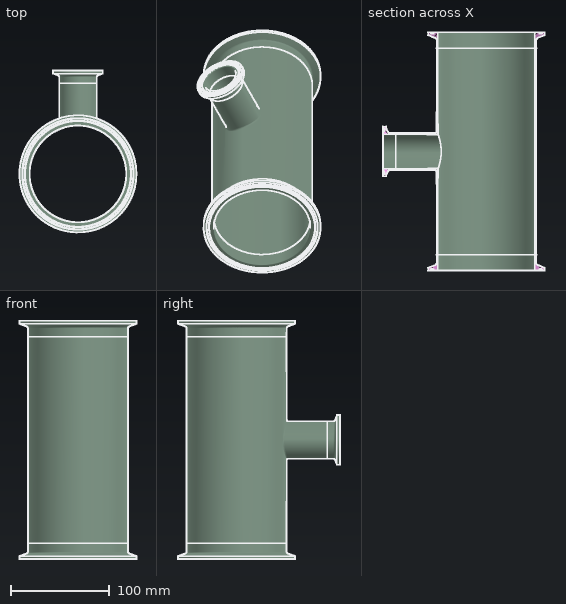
import cadquery as cq
import math

TOTAL_HEIGHT = 241.5
BRANCH_REACH = 104.8
WALL = 2.0

RUN_DIAMETER = 101.6
RUN_RADIUS = RUN_DIAMETER / 2
RUN_FLANGE_RADIUS = 59.5
RUN_FERRULE_LENGTH = 16.2
RUN_GROOVE_RADIUS = 55.0

BRANCH_RADIUS = 19.0
BRANCH_FLANGE_RADIUS = 25.3
BRANCH_FERRULE_LENGTH = 13.0
BRANCH_GROOVE_RADIUS = 21.7
SADDLE_FILLET = 1.5

RIM_THICKNESS = 3.1
CLAMP_ANGLE = math.radians(20)
NECK_FILLET = 1.7
BORE_EDGE_RADIUS = 0.7
GROOVE_WIDTH = 3.1
GROOVE_FLOOR_WIDTH = 2.0
GROOVE_DEPTH = 1.5

PICK_MARGIN = 0.2


def make_ferrule(tube_radius, flange_radius, length, groove_radius):
    """Ferrule on the Z axis: sealing face at Z = 0, weld end at Z = length."""
    bore_radius = tube_radius - WALL
    cone_end = RIM_THICKNESS + (flange_radius - tube_radius) * math.tan(CLAMP_ANGLE)
    body = (
        cq.Workplane("XZ")
        .moveTo(bore_radius + BORE_EDGE_RADIUS, 0)
        .lineTo(flange_radius, 0)
        .lineTo(flange_radius, RIM_THICKNESS)
        .lineTo(tube_radius, cone_end)
        .lineTo(tube_radius, length)
        .lineTo(bore_radius, length)
        .lineTo(bore_radius, BORE_EDGE_RADIUS)
        .radiusArc((bore_radius + BORE_EDGE_RADIUS, 0), -BORE_EDGE_RADIUS)
        .close()
        .revolve(360, (0, 0, 0), (0, 1, 0))
    )
    neck_box = cq.selectors.BoxSelector(
        (-flange_radius, -flange_radius, cone_end - PICK_MARGIN),
        (flange_radius, flange_radius, cone_end + PICK_MARGIN),
    )
    body = body.edges("%CIRCLE").edges(neck_box).fillet(NECK_FILLET)
    return body.cut(make_gasket_groove(groove_radius))


def make_gasket_groove(groove_radius):
    """Ring with sloping sides that forms the gasket seat."""
    return (
        cq.Workplane("XZ")
        .moveTo(groove_radius - GROOVE_WIDTH / 2, 0)
        .lineTo(groove_radius + GROOVE_WIDTH / 2, 0)
        .lineTo(groove_radius + GROOVE_FLOOR_WIDTH / 2, GROOVE_DEPTH)
        .lineTo(groove_radius - GROOVE_FLOOR_WIDTH / 2, GROOVE_DEPTH)
        .close()
        .revolve(360, (0, 0, 0), (0, 1, 0))
    )


def make_tee():
    """Run tube with a side branch and a rounded saddle joint."""
    run_length = TOTAL_HEIGHT - 2 * RUN_FERRULE_LENGTH
    branch_end = BRANCH_REACH - BRANCH_FERRULE_LENGTH
    run = cq.Workplane("XY").circle(RUN_RADIUS).extrude(run_length / 2, both=True)
    branch = cq.Workplane("XZ").circle(BRANCH_RADIUS).extrude(-branch_end)
    outside = run.union(branch)

    saddle_box = cq.selectors.BoxSelector(
        (-BRANCH_RADIUS, RUN_RADIUS / 2, -BRANCH_RADIUS),
        (BRANCH_RADIUS, RUN_RADIUS + SADDLE_FILLET, BRANCH_RADIUS),
    )
    outside = outside.edges(saddle_box).fillet(SADDLE_FILLET)

    run_bore = cq.Workplane("XY").circle(RUN_RADIUS - WALL).extrude(run_length / 2, both=True)
    branch_bore = cq.Workplane("XZ").circle(BRANCH_RADIUS - WALL).extrude(-branch_end)
    return outside.cut(run_bore).cut(branch_bore)


tee = make_tee()

run_ferrules = []
for turn, face_height in ((0, -TOTAL_HEIGHT / 2), (180, TOTAL_HEIGHT / 2)):
    ferrule = make_ferrule(RUN_RADIUS, RUN_FLANGE_RADIUS, RUN_FERRULE_LENGTH, RUN_GROOVE_RADIUS)
    ferrule = ferrule.rotate((0, 0, 0), (1, 0, 0), turn).translate((0, 0, face_height))
    run_ferrules.append(ferrule.val())

branch_ferrule = (
    make_ferrule(BRANCH_RADIUS, BRANCH_FLANGE_RADIUS, BRANCH_FERRULE_LENGTH, BRANCH_GROOVE_RADIUS)
    .rotate((0, 0, 0), (1, 0, 0), 90)
    .translate((0, BRANCH_REACH, 0))
)

result = cq.Compound.makeCompound([tee.val(), *run_ferrules, branch_ferrule.val()])